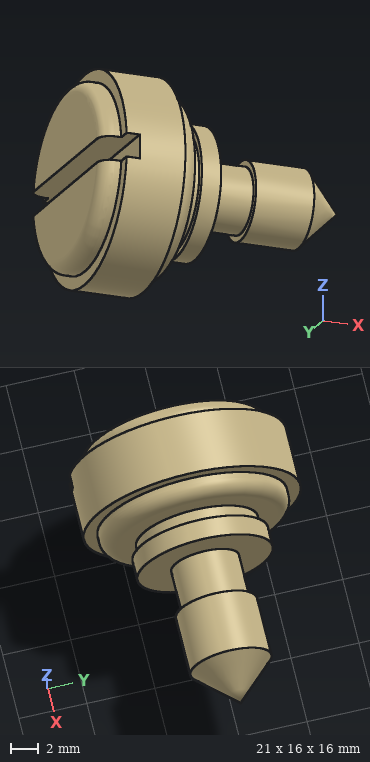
import cadquery as cq

total_length = 21.0

rim_radius = 8.0
land_radius = 7.0
land_rounding = 1.0
rim_start = 1.5
rim_end = 6.0
head_end = 7.5

neck_radius = 4.5
neck_end = 8.5
collar_radius = 5.0
collar_end = 10.0
shank_radius = 2.5
shank_end = 13.5
tip_radius = 3.0
cone_start = 18.0

slot_depth = 2.5
slot_width = 1.8


def cylinder(start, end, radius):
    """Cylinder along X between two stations."""
    return cq.Workplane("YZ", origin=(start, 0, 0)).circle(radius).extrude(end - start)


def make_head():
    lands = cylinder(0, head_end, land_radius).edges("%CIRCLE").fillet(land_rounding)
    return lands.union(cylinder(rim_start, rim_end, rim_radius))


def make_shaft():
    neck = cylinder(head_end, neck_end, neck_radius)
    collar = cylinder(neck_end, collar_end, collar_radius)
    shank = cylinder(collar_end, shank_end, shank_radius)
    tip = cylinder(shank_end, cone_start, tip_radius)
    cone = (
        cq.Workplane("XY")
        .polyline([(cone_start, 0), (total_length, 0), (cone_start, tip_radius)])
        .close()
        .revolve(360, (0, 0, 0), (1, 0, 0))
    )
    return neck.union(collar).union(shank).union(tip).union(cone)


def make_slot():
    return cq.Workplane("XY").box(
        slot_depth, 2 * rim_radius, slot_width, centered=(False, True, True)
    )


result = make_head().union(make_shaft()).cut(make_slot())